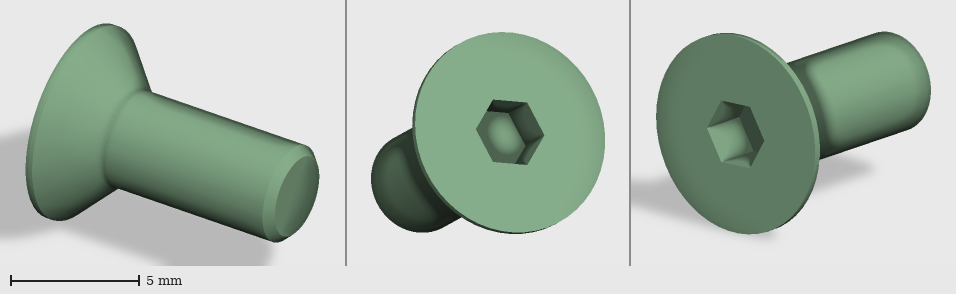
import cadquery as cq
import math

thread_diameter = 4.0
head_diameter = 8.0
total_length = 10.0
rim_thickness = 0.3
cone_half_angle = 45.0
neck_fillet_radius = 0.2
tip_chamfer = 0.35
socket_across_flats = 2.5
socket_sides = 6
socket_depth = 2.0

shank_radius = thread_diameter / 2
head_radius = head_diameter / 2
cone_length = (head_radius - shank_radius) / math.tan(math.radians(cone_half_angle))
head_length = rim_thickness + cone_length
socket_across_corners = socket_across_flats / math.cos(math.pi / socket_sides)


def make_body():
    """Revolve the countersunk head and shank about X, with fillet and tip chamfer."""
    half_angle = math.radians(cone_half_angle)
    tangent_length = neck_fillet_radius * math.tan(half_angle / 2)
    cone_tangent = (
        head_length - tangent_length * math.cos(half_angle),
        shank_radius + tangent_length * math.sin(half_angle),
    )
    shank_tangent = (head_length + tangent_length, shank_radius)
    fillet_middle = (
        shank_tangent[0] - neck_fillet_radius * math.sin(half_angle / 2),
        shank_radius + neck_fillet_radius * (1 - math.cos(half_angle / 2)),
    )
    return (
        cq.Workplane("XY")
        .moveTo(0, 0)
        .lineTo(0, head_radius)
        .lineTo(rim_thickness, head_radius)
        .lineTo(*cone_tangent)
        .threePointArc(fillet_middle, shank_tangent)
        .lineTo(total_length - tip_chamfer, shank_radius)
        .lineTo(total_length, shank_radius - tip_chamfer)
        .lineTo(total_length, 0)
        .close()
        .revolve(360, (0, 0, 0), (1, 0, 0))
    )


def make_socket():
    """Hexagonal key socket, with two corners on the Y axis."""
    return cq.Workplane("YZ").polygon(socket_sides, socket_across_corners).extrude(socket_depth)


result = make_body().cut(make_socket())